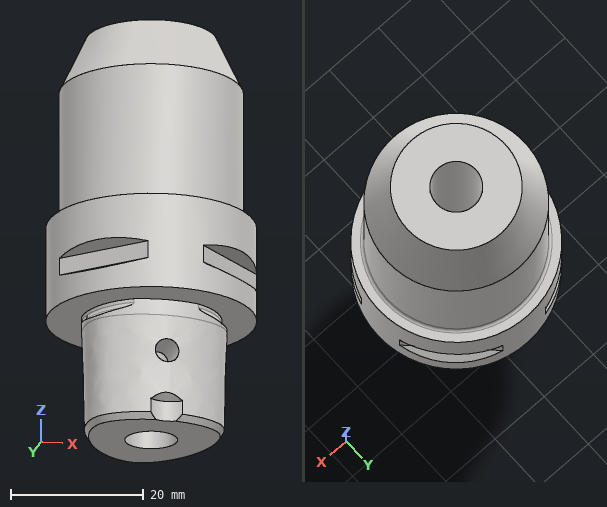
import cadquery as cq
import math

total_height = 64.0
flange_bottom = 19.0
flange_height = 15.0
flange_top = flange_bottom + flange_height
cone_bottom = 55.5

flange_radius = 16.0
neck_radius = 14.0
nose_radius = 10.0
neck_fillet = 0.5
bore_diameter = 8.0

shank_radius = 11.0
shank_end_radius = 10.6
lobe_rise = 0.7
taper_top = 16.5
end_chamfer_height = 1.0
end_chamfer_inset = 0.65

relief_radius = 10.75
relief_land = 0.6
relief_fillet = 1.1
relief_outer_radius = 12.8

notch_count = 4
notch_center_z = flange_bottom + 6.0
notch_floor_distance = 13.95
notch_floor_height = 2.7
notch_mouth_height = 4.7

side_hole_diameter = 3.65
side_hole_z = 10.95

keyway_radius = 4.0
keyway_axis_y = -12.85
keyway_shoulder_z = 3.15


def make_head():
    """Flange, neck and nose cone turned about Z."""
    return (
        cq.Workplane("XZ")
        .moveTo(0, flange_bottom)
        .lineTo(flange_radius, flange_bottom)
        .lineTo(flange_radius, flange_top)
        .lineTo(neck_radius + neck_fillet, flange_top)
        .radiusArc((neck_radius, flange_top + neck_fillet), neck_fillet)
        .lineTo(neck_radius, cone_bottom)
        .lineTo(nose_radius, total_height)
        .lineTo(0, total_height)
        .close()
        .revolve(360, (0, 0, 0), (0, 1, 0))
    )


def polygon_point(mean_radius, turn):
    """Point on the lobed outline whose support distance is mean_radius + lobe_rise * cos(3 * angle)."""
    angle = 2 * math.pi * turn
    support = mean_radius + lobe_rise * math.cos(3 * angle)
    slope = -3 * lobe_rise * math.sin(3 * angle)
    x = -support * math.sin(angle) - slope * math.cos(angle)
    y = support * math.cos(angle) - slope * math.sin(angle)
    return x, y


def polygon_section(height, mean_radius):
    """Closed lobed outline at the given height, starting at -Y."""
    samples = 72
    points = [cq.Vector(*polygon_point(mean_radius, 0.5 + i / samples), height) for i in range(samples)]
    return cq.Wire.assembleEdges([cq.Edge.makeSpline(points, periodic=True)])


def make_shank():
    """End chamfer, tapered length and straight top of the polygon shank."""
    sections = [
        polygon_section(0, shank_end_radius - end_chamfer_inset),
        polygon_section(end_chamfer_height, shank_end_radius),
        polygon_section(taper_top, shank_radius),
        polygon_section(flange_bottom, shank_radius),
    ]
    return cq.Workplane(cq.Solid.makeLoft(sections, True))


def make_relief():
    """Ring with a straight land, a concave fillet and a 45 degree run-out."""
    fillet_drop = relief_fillet * math.sin(math.radians(45))
    fillet_run = relief_fillet - fillet_drop
    land_z = flange_bottom - relief_land
    runout_radius = relief_radius + fillet_run
    runout_z = land_z - fillet_drop
    outer_z = runout_z - (relief_outer_radius - runout_radius)
    return (
        cq.Workplane("XZ")
        .moveTo(relief_outer_radius, flange_bottom)
        .lineTo(relief_radius, flange_bottom)
        .lineTo(relief_radius, land_z)
        .radiusArc((runout_radius, runout_z), -relief_fillet)
        .lineTo(relief_outer_radius, outer_z)
        .close()
        .revolve(360, (0, 0, 0), (0, 1, 0))
    )


def cut_gripper_notches(body):
    """Flat-floored notches with flanks that open outward."""
    notch = (
        cq.Workplane("XZ")
        .moveTo(notch_floor_distance, notch_center_z - notch_floor_height / 2)
        .lineTo(flange_radius, notch_center_z - notch_mouth_height / 2)
        .lineTo(flange_radius, notch_center_z + notch_mouth_height / 2)
        .lineTo(notch_floor_distance, notch_center_z + notch_floor_height / 2)
        .close()
        .extrude(flange_radius, both=True)
    )
    pitch = 360 / notch_count
    for i in range(notch_count):
        body = body.cut(notch.rotate((0, 0, 0), (0, 0, 1), (i + 0.5) * pitch))
    return body


def make_keyway_cutter():
    """Vertical cylinder with a 45 degree pointed end."""
    return (
        cq.Workplane("XZ", origin=(0, keyway_axis_y, 0))
        .lineTo(keyway_radius, 0)
        .lineTo(keyway_radius, keyway_shoulder_z)
        .lineTo(0, keyway_shoulder_z + keyway_radius)
        .close()
        .revolve(360, (0, 0, 0), (0, 1, 0))
    )


def make_bore():
    """Axial hole through the whole part."""
    return cq.Workplane("XY").circle(bore_diameter / 2).extrude(total_height)


def make_side_hole():
    """Radial hole from the -Y side into the bore."""
    return (
        cq.Workplane("XZ", origin=(0, 0, side_hole_z))
        .circle(side_hole_diameter / 2)
        .extrude(flange_radius)
    )


shank = make_shank().cut(make_relief()).cut(make_keyway_cutter())
body = cut_gripper_notches(make_head()).union(shank)
result = body.cut(make_bore()).cut(make_side_hole())